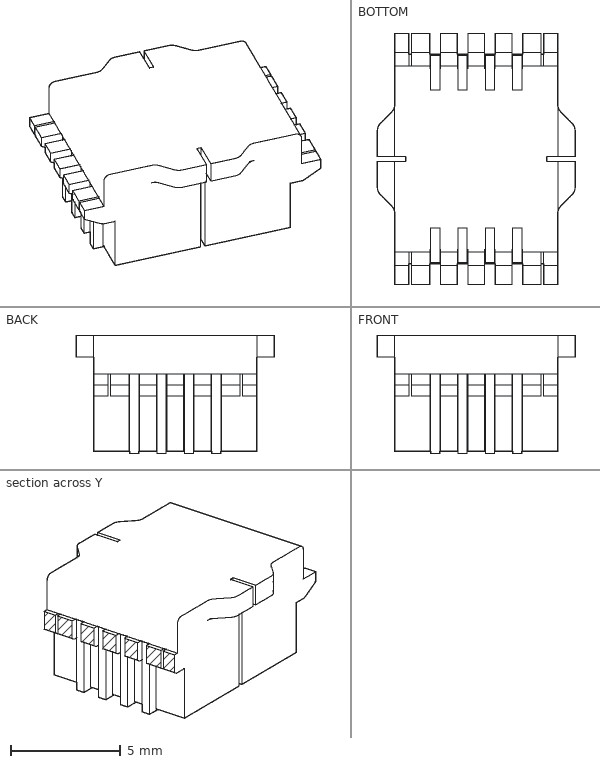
import cadquery as cq

length = 11.48
width = 9.06
height = 5.41

body_width = 7.46
cap_length = 9.6
lower_length = 8.52
cap_edge_radius = 0.3
foot_thickness = 0.1

ear_thickness = 1.0
ear_overhang = (width - body_width) / 2
ear_root_half_length = 2.3
ear_tip_half_length = 1.48
ear_corner_radius = 0.48

side_slot_width = 0.21
side_slot_depth = 1.3

comb_top = height - 1.77
comb_thickness = 1.0
comb_tip_thickness = 0.5
comb_underside_length = 9.74
pin_count = 4
pin_pitch = 1.25
comb_gap_width = 0.48
narrow_gap_width = 0.11
narrow_gap_x = 3.02

pin_width = 0.42
pin_span = 9.46
foot_length = 1.57
groove_depth = 0.11

comb_bottom = comb_top - comb_thickness
comb_root_y = lower_length / 2
groove_floor_y = comb_root_y - groove_depth
pin_positions = [(i - (pin_count - 1) / 2) * pin_pitch for i in range(pin_count)]


def box(x_range, y_range, z_range):
    """Axis-aligned box between the given (low, high) limits."""
    size = [high - low for low, high in (x_range, y_range, z_range)]
    corner = (x_range[0], y_range[0], z_range[0])
    return cq.Workplane("XY").box(*size, centered=False).translate(corner)


def centered_on(middle, size):
    """Limits of a span of the given size around a middle value."""
    return (middle - size / 2, middle + size / 2)


def make_body():
    """Lower block, rounded cap and side combs as one profile along X."""
    half_profile = [
        (0, foot_thickness),
        (lower_length / 2, foot_thickness),
        (lower_length / 2, comb_bottom),
        (comb_underside_length / 2, comb_bottom),
        (length / 2, comb_top - comb_tip_thickness),
        (length / 2, comb_top),
        (cap_length / 2, comb_top),
        (cap_length / 2, height),
        (0, height),
    ]
    half = cq.Workplane("YZ").polyline(half_profile).close().extrude(body_width / 2, both=True)
    body = half.union(half.mirror("XZ"))
    return body.faces(">Z").edges("|X").fillet(cap_edge_radius)


def make_ears():
    """Plate with a tapered, rounded ear on each X side."""
    root_x = body_width / 2
    tip_x = width / 2
    inner_x = root_x - side_slot_depth
    shoulder_y = ear_root_half_length + ear_overhang
    outline = [
        (inner_x, -shoulder_y),
        (root_x, -shoulder_y),
        (root_x, -ear_root_half_length),
        (tip_x, -ear_tip_half_length),
        (tip_x, ear_tip_half_length),
        (root_x, ear_root_half_length),
        (root_x, shoulder_y),
        (inner_x, shoulder_y),
    ]
    ear = (
        cq.Workplane("XY", origin=(0, 0, height - ear_thickness))
        .polyline(outline)
        .close()
        .extrude(ear_thickness)
    )
    margin = 0.11
    bends = cq.selectors.BoxSelector(
        (root_x - margin, -ear_root_half_length - margin, 0),
        (tip_x + margin, ear_root_half_length + margin, height),
    )
    ear = ear.edges("|Z").edges(bends).fillet(ear_corner_radius)
    return ear.union(ear.mirror("YZ"))


def make_side_slots():
    """Cutters for the full-height slots through the ears and body sides."""
    slot = box(
        (width / 2 - side_slot_depth, width / 2),
        centered_on(0, side_slot_width),
        (0, height),
    )
    return slot.union(slot.mirror("YZ"))


def make_comb_gaps():
    """Cutters for the comb gaps and pin grooves on the +Y side."""
    cutters = cq.Workplane("XY")
    for x in (-narrow_gap_x, narrow_gap_x):
        gap_y = (comb_root_y, length / 2)
        cutters = cutters.add(box(centered_on(x, narrow_gap_width), gap_y, (comb_bottom, comb_top)))
    for x in pin_positions:
        gap_y = (groove_floor_y, length / 2)
        cutters = cutters.add(box(centered_on(x, comb_gap_width), gap_y, (0, comb_top)))
    return cutters.combine()


def make_pins():
    """Upright pins on the +Y side, each with a foot folded under the body."""
    outer_y = pin_span / 2
    pins = cq.Workplane("XY")
    for x in pin_positions:
        x_range = centered_on(x, pin_width)
        upright = box(x_range, (groove_floor_y, outer_y), (0, comb_top))
        foot = box(x_range, (outer_y - foot_length, outer_y), (0, foot_thickness))
        pins = pins.add(upright.union(foot))
    return pins.combine()


def on_both_ends(shape):
    """The +Y side shape together with its mirror image on the -Y side."""
    return shape.union(shape.mirror("XZ"))


result = (
    make_body()
    .union(make_ears())
    .cut(make_side_slots())
    .cut(on_both_ends(make_comb_gaps()))
    .union(on_both_ends(make_pins()))
)